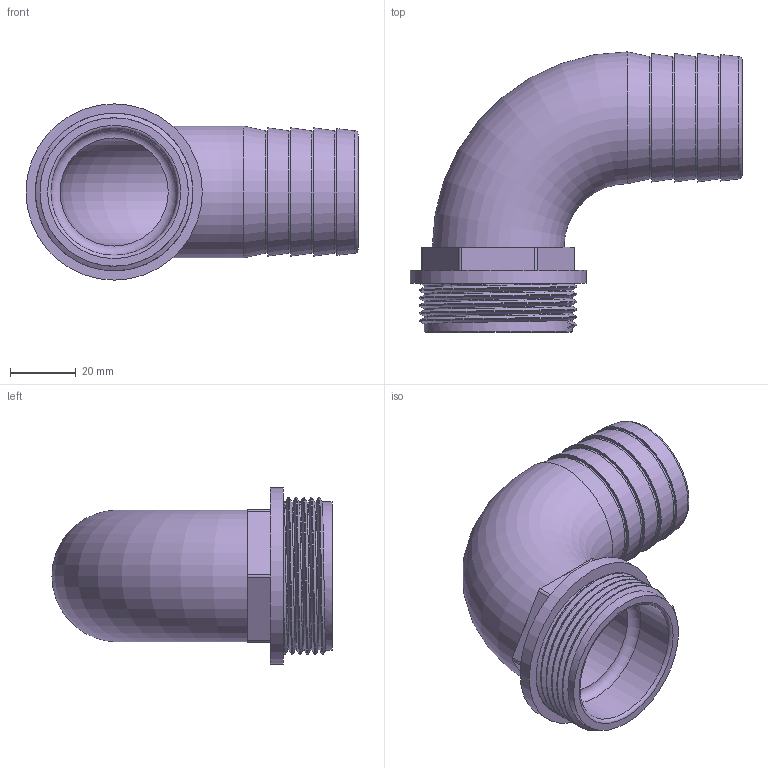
import cadquery as cq
import math

thread_core_radius = 22.5
thread_crest_radius = 23.9
thread_pitch = 2.309
thread_turns = 6.0
thread_start_y = 2.1
thread_start_angle = 68.0
thread_root_width = 2.2
thread_crest_width = 0.3
thread_overlap = 0.3

flange_radius = 26.75
flange_start_y = 14.75
flange_thickness = 4.0
hex_across_flats = 40.4
hex_height = 7.0
hex_corner_radius = 1.0

tube_radius = 20.0
bore_radius = 16.4
bend_radius = 39.25

counterbore_radius = 19.2
counterbore_depth = 15.7
counterbore_rim_radius = 1.0

lead_in_length = 6.75
barb_pitch = 7.0
barb_count = 4
barb_crest_radius = 19.5
last_barb_crest_radius = 19.2
barb_root_radius = 18.55
barb_land_length = 0.6
tail_tip_radius = 0.95

flange_end_y = flange_start_y + flange_thickness
bend_start_y = flange_end_y + hex_height
tail_axis_y = bend_start_y + bend_radius
tail_length = lead_in_length + barb_count * barb_pitch
tail_end_x = bend_radius + tail_length


def cylinder_along_y(radius, start_y, end_y):
    """Solid cylinder about the Y axis."""
    base = cq.Workplane("XZ", origin=(0, start_y, 0))
    return base.circle(radius).extrude(start_y - end_y)


def bend(radius):
    """Quarter-torus bar from the Y axis to the hose tail axis."""
    base = cq.Workplane("XZ", origin=(0, bend_start_y, 0))
    return base.circle(radius).revolve(90, (bend_radius, 0, 0), (bend_radius, -1, 0))


def hexagon():
    """Spanner hexagon with rounded corners, two of them pointing along X."""
    across_corners = hex_across_flats / math.cos(math.pi / 6)
    base = cq.Workplane("XZ", origin=(0, flange_end_y, 0))
    prism = base.polygon(6, across_corners).extrude(-hex_height)
    return prism.edges("|Y").fillet(hex_corner_radius)


def hose_tail():
    """Barbed tail turned about its own axis, each barb rising in a square step."""
    profile = cq.Workplane("XY", origin=(0, tail_axis_y, 0))
    profile = profile.moveTo(bend_radius, 0).lineTo(bend_radius, tube_radius)
    for index in range(barb_count):
        land_x = bend_radius + lead_in_length + index * barb_pitch
        step_x = land_x + barb_land_length
        crest_radius = last_barb_crest_radius if index == barb_count - 1 else barb_crest_radius
        profile = profile.lineTo(land_x, barb_root_radius)
        profile = profile.lineTo(step_x, barb_root_radius)
        profile = profile.lineTo(step_x, crest_radius)
    profile = profile.lineTo(tail_end_x - tail_tip_radius, barb_root_radius)
    profile = profile.radiusArc((tail_end_x, barb_root_radius - tail_tip_radius), tail_tip_radius)
    profile = profile.lineTo(tail_end_x, 0).close()
    return profile.revolve(360, (0, 0, 0), (1, 0, 0))


def thread_ridge():
    """Right-handed helical ridge around the spigot."""
    base_radius = thread_core_radius - thread_overlap
    path = cq.Wire.makeHelix(thread_pitch, thread_turns * thread_pitch, base_radius)
    tip = thread_crest_radius - base_radius
    section = cq.Workplane("XZ", origin=(base_radius, 0, 0)).polyline([
        (0, -thread_root_width / 2),
        (tip, -thread_crest_width / 2),
        (tip, thread_crest_width / 2),
        (0, thread_root_width / 2),
    ]).close()
    ridge = section.sweep(cq.Workplane(obj=path), isFrenet=True)
    ridge = ridge.rotate((0, 0, 0), (1, 0, 0), -90)
    ridge = ridge.rotate((0, 0, 0), (0, 1, 0), thread_start_angle - 90)
    return ridge.translate((0, thread_start_y, 0))


def counterbore():
    """Wide mouth pocket with a rounded rim and a floor rounded down to the bore."""
    floor_radius = counterbore_radius - bore_radius
    profile = cq.Workplane("XY").lineTo(counterbore_radius + counterbore_rim_radius, 0)
    profile = profile.radiusArc((counterbore_radius, counterbore_rim_radius), counterbore_rim_radius)
    profile = profile.lineTo(counterbore_radius, counterbore_depth - floor_radius)
    profile = profile.radiusArc((bore_radius, counterbore_depth), -floor_radius)
    profile = profile.lineTo(0, counterbore_depth).close()
    return profile.revolve(360, (0, 0, 0), (0, 1, 0))


def outer_body():
    """Solid fitting before the passage is opened."""
    spigot = cylinder_along_y(thread_core_radius, 0, flange_end_y)
    flange = cylinder_along_y(flange_radius, flange_start_y, flange_end_y)
    body = spigot.union(thread_ridge()).union(flange).union(hexagon())
    return body.union(bend(tube_radius)).union(hose_tail())


def passage():
    """Flow passage from the threaded mouth to the hose tail end."""
    spigot_bore = cylinder_along_y(bore_radius, 0, bend_start_y)
    tail_start = cq.Workplane("YZ", origin=(bend_radius, tail_axis_y, 0))
    tail_bore = tail_start.circle(bore_radius).extrude(tail_length)
    return counterbore().union(spigot_bore).union(bend(bore_radius)).union(tail_bore)


result = outer_body().cut(passage())